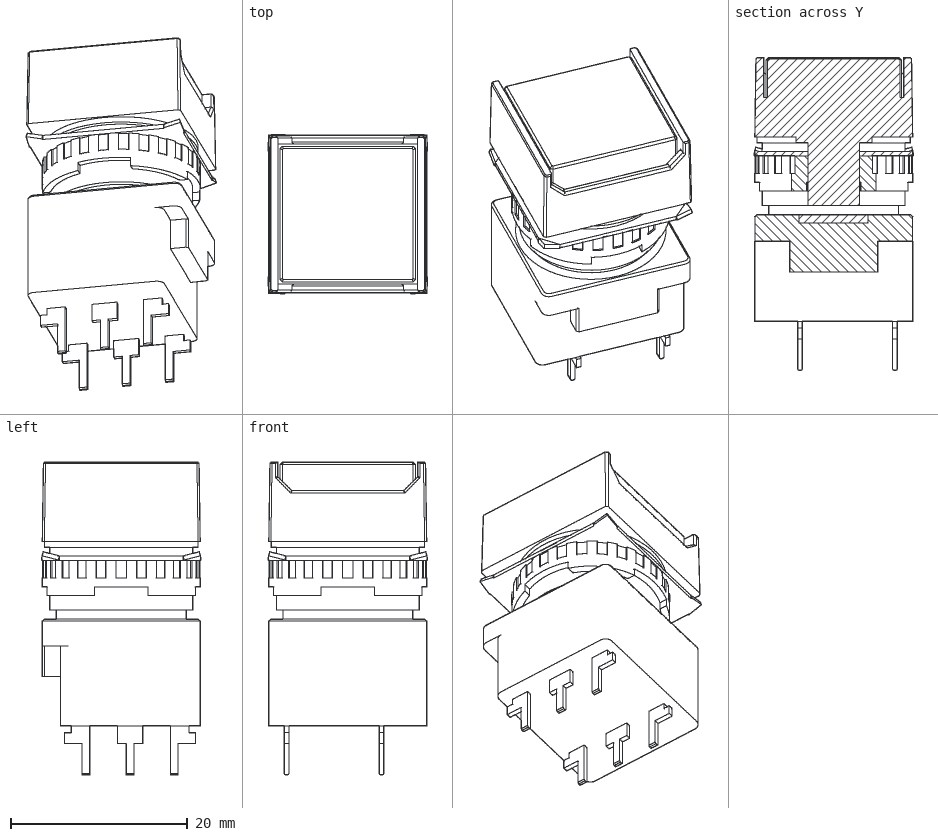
import cadquery as cq
import math


seat_depth = 1.0
neck_top = 1.0
ring_bottom = 2.65
ring_slot_bottom = 4.65
ring_top = 6.65
washer_thickness = 0.5
washer_top = ring_top + washer_thickness
flange_bottom = 8.1
bezel_bottom = 8.75
operator_top = 17.75

foot_radius = 8.52
neck_radius = 7.37
barrel_radius = 8.1
flange_radius = 8.7
bezel_half_bottom = 8.95
bezel_half_top = 8.82
bezel_edge_chamfer = 0.25
bezel_rim_chamfer = 0.15
well_half = 7.92
well_depth = 4.5
button_half = 7.67
button_chamfer = 0.26
notch_half_top = 7.92
notch_half_bottom = 6.33
notch_shoulder_z = 16.12
notch_bottom_z = 14.53
notch_chamfer = 0.28
sill_bevel = 0.22

ring_radius = 8.95
ring_slot_count = 24
ring_slot_width = 1.15
ring_slot_depth = 0.2
ring_notch_width = 6.1
ring_notch_height = 1.0

washer_half = 8.908
washer_corner_cut = 1.9
tab_angle = 21

block_half = 8.95
block_height = 12.1
block_corner_radius = 0.9
block_top_chamfer = 0.25
ledge_depth = 3.03
ledge_overhang = 2.05
lever_half_width = 5.0
lever_bottom = -6.52
lever_chamfer = 0.25

terminal_columns_x = (-6.93, 3.82)
terminal_centre_y = -1.0
terminal_pitch = 5.0
terminal_thickness = 0.56
leg_half_width = 0.45
leg_bottom = -17.65
leg_tip_chamfer = 0.15
head_bottom = -14.1
head_shoulder = -12.87
centre_head_half = 1.45
outer_head_reach = 2.43
outer_root_reach = 1.68


def cylinder(radius, bottom, top):
    return cq.Workplane("XY").workplane(offset=bottom).circle(radius).extrude(top - bottom)


def square_block(half, bottom, top):
    return cq.Workplane("XY").workplane(offset=bottom).rect(2 * half, 2 * half).extrude(top - bottom)


def bezel_notch(overrun=1.0):
    """Cutter for the trapezoid notch through the -Y wall, widening at the outer edge."""
    height_share = (notch_bottom_z - bezel_bottom) / (operator_top - bezel_bottom)
    wall_half = bezel_half_bottom - height_share * (bezel_half_bottom - bezel_half_top)
    chamfer_start = notch_chamfer - wall_half
    top = operator_top + overrun
    outline = [
        (-notch_half_top, top),
        (-notch_half_top, notch_shoulder_z),
        (-notch_half_bottom, notch_bottom_z),
        (notch_half_bottom, notch_bottom_z),
        (notch_half_top, notch_shoulder_z),
        (notch_half_top, top),
    ]
    start = cq.Workplane("XZ", origin=(0, chamfer_start, 0))
    outer = start.polyline(outline).close().extrude(2 * notch_chamfer, taper=-45)
    inner = start.polyline(outline).close().extrude(-overrun - notch_chamfer)
    return outer.union(inner)


def make_operator():
    bezel = (
        cq.Workplane("XY").workplane(offset=bezel_bottom)
        .rect(2 * bezel_half_bottom, 2 * bezel_half_bottom)
        .workplane(offset=operator_top - bezel_bottom)
        .rect(2 * bezel_half_top, 2 * bezel_half_top)
        .loft()
    )
    bezel = bezel.edges("not(#Z or |X or |Y)").chamfer(bezel_edge_chamfer)
    bezel = bezel.faces(">Z").chamfer(bezel_rim_chamfer)

    well_floor = operator_top - well_depth
    bezel = bezel.cut(square_block(well_half, well_floor, operator_top))
    notch = bezel_notch()
    bezel = bezel.cut(notch).cut(notch.mirror("XZ"))
    for sill_y in (-well_half, well_half):
        sill_edge = cq.selectors.NearestToPointSelector((0, sill_y, notch_bottom_z))
        bezel = bezel.edges(sill_edge).chamfer(sill_bevel)

    button = square_block(button_half, well_floor, operator_top)
    button = button.edges("|Z").chamfer(button_chamfer).faces(">Z").chamfer(button_chamfer)

    return (
        bezel.union(button)
        .union(cylinder(flange_radius, flange_bottom, bezel_bottom))
        .union(cylinder(barrel_radius, neck_top, flange_bottom))
        .union(cylinder(neck_radius, 0, neck_top))
        .union(cylinder(foot_radius, -seat_depth, 0))
    )


def make_lock_ring():
    ring = cylinder(ring_radius, ring_bottom, ring_top)
    notch_start = cq.Workplane("XY").workplane(offset=ring_bottom)
    for size_x, size_y in ((2 * ring_radius, ring_notch_width), (ring_notch_width, 2 * ring_radius)):
        ring = ring.cut(notch_start.rect(size_x, size_y).extrude(ring_notch_height))

    slots = (
        cq.Workplane("XY").workplane(offset=ring_slot_bottom)
        .polarArray(ring_radius, 0, 360, ring_slot_count)
        .rect(2 * ring_slot_depth, ring_slot_width)
        .extrude(ring_top - ring_slot_bottom)
    )
    return ring.cut(slots).cut(cylinder(barrel_radius, ring_bottom, ring_top))


def make_washer():
    plate = square_block(washer_half, ring_top, washer_top).edges("|Z").chamfer(washer_corner_cut)

    fold_distance = math.sqrt(2) * washer_half - washer_corner_cut / math.sqrt(2)
    tab_reach = washer_corner_cut / math.sqrt(2)
    fold = cq.Workplane("XY", origin=(fold_distance, 0, ring_top))
    tab = (
        fold.polyline([(0, -tab_reach), (tab_reach, 0), (0, tab_reach)]).close()
        .extrude(washer_thickness)
        .rotate((fold_distance, 0, washer_top), (fold_distance, -1, washer_top), tab_angle)
    )
    bend = (
        cq.Workplane("XZ", origin=(fold_distance, tab_reach, washer_top))
        .moveTo(0, 0)
        .lineTo(0, -washer_thickness)
        .radiusArc(
            (
                washer_thickness * math.sin(math.radians(tab_angle)),
                -washer_thickness * math.cos(math.radians(tab_angle)),
            ),
            -washer_thickness,
        )
        .close()
        .extrude(2 * tab_reach)
    )
    corner = tab.union(bend)
    for quarter in range(4):
        plate = plate.union(corner.rotate((0, 0, 0), (0, 0, 1), 45 + 90 * quarter))
    return plate.cut(cylinder(barrel_radius, ring_top, washer_top))


def terminal(x, outline):
    """Flat terminal with its outline in the YZ plane and a thinned tip."""
    blade = cq.Workplane("YZ", origin=(x - terminal_thickness / 2, 0, 0))
    blade = blade.polyline(outline).close().extrude(terminal_thickness)
    return blade.faces("<Z").edges("|Y").chamfer(leg_tip_chamfer)


def centre_terminal(x):
    y = terminal_centre_y
    outline = [
        (y - centre_head_half, -block_height),
        (y - centre_head_half, head_bottom),
        (y - leg_half_width, head_bottom),
        (y - leg_half_width, leg_bottom),
        (y + leg_half_width, leg_bottom),
        (y + leg_half_width, head_bottom),
        (y + centre_head_half, head_bottom),
        (y + centre_head_half, -block_height),
    ]
    return terminal(x, outline)


def outer_terminal(x, side):
    """Terminal whose head reaches outward along Y; side is +1 or -1."""
    leg_y = terminal_centre_y + side * terminal_pitch
    profile = [
        (-leg_half_width, -block_height),
        (-leg_half_width, leg_bottom),
        (leg_half_width, leg_bottom),
        (leg_half_width, head_bottom),
        (outer_head_reach, head_bottom),
        (outer_head_reach, head_shoulder),
        (outer_root_reach, head_shoulder),
        (outer_root_reach, -block_height),
    ]
    return terminal(x, [(leg_y + side * offset, z) for offset, z in profile])


def make_contact_block():
    top_part = square_block(block_half, -ledge_depth, 0)
    top_part = top_part.edges("|Z").fillet(block_corner_radius).faces(">Z").chamfer(block_top_chamfer)

    lower_back_y = block_half - ledge_overhang
    lower_part = (
        cq.Workplane("XY").workplane(offset=-block_height)
        .center(0, -ledge_overhang / 2)
        .rect(2 * block_half, 2 * block_half - ledge_overhang)
        .extrude(block_height - ledge_depth)
        .edges("|Z").fillet(block_corner_radius)
    )
    lever = (
        cq.Workplane("XY")
        .box(2 * lever_half_width, ledge_overhang, -ledge_depth - lever_bottom, centered=(True, False, False))
        .translate((0, lower_back_y, lever_bottom))
        .edges("|Z and >Y").chamfer(lever_chamfer)
    )
    block = top_part.union(lower_part).union(lever)
    for x in terminal_columns_x:
        block = block.union(centre_terminal(x))
        for side in (1, -1):
            block = block.union(outer_terminal(x, side))
    return block.cut(cylinder(foot_radius, -seat_depth, 0))


operator = make_operator()
lock_ring = make_lock_ring()
washer = make_washer()
contact_block = make_contact_block()

result = cq.Compound.makeCompound([operator.val(), lock_ring.val(), washer.val(), contact_block.val()])